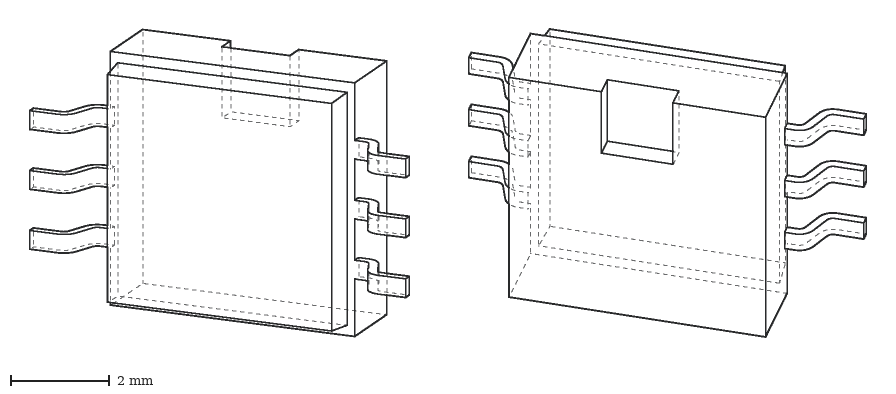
import cadquery as cq
import math

overall_width = 8.3
overall_depth = 2.4

block_width = 5.395
block_height = 5.38
block_depth = 1.64

notch_width = 1.5
notch_length = notch_width
notch_depth = 0.45

cover_width = 5.06
cover_height = 4.94
cover_depth = 0.655
cover_draft = 5.0

lead_count = 3
lead_pitch = 1.27
lead_width = 0.4
lead_thickness = 0.2
foot_length = 0.61
bend_inner_radius = 0.15
leg_angle = 69.0
root_embed = 0.25

block_left = -block_width / 2
foot_front = block_depth - overall_depth
bend_radius = bend_inner_radius + lead_thickness / 2


def make_block():
    block = cq.Workplane("XY").box(block_width, block_depth, block_height)
    block = block.translate((0, block_depth / 2, 0))
    notch = cq.Workplane("XY").box(notch_width, notch_depth, notch_length)
    notch_y = block_depth - notch_depth / 2
    notch_z = (block_height - notch_length) / 2
    return block.cut(notch.translate((0, notch_y, notch_z)))


def make_cover():
    return cq.Workplane("XZ").rect(cover_width, cover_height).extrude(cover_depth, taper=cover_draft)


def make_left_lead():
    foot_y = foot_front + lead_thickness / 2
    root_y = lead_thickness / 2
    angle = math.radians(leg_angle)
    bend_run = bend_radius * math.sin(angle)
    bend_rise = bend_radius * (1 - math.cos(angle))
    leg_rise = root_y - foot_y - 2 * bend_rise
    leg_run = leg_rise / math.tan(angle)

    tip_x = -overall_width / 2
    foot_end_x = tip_x + foot_length
    leg_start = (foot_end_x + bend_run, foot_y + bend_rise)
    leg_end = (leg_start[0] + leg_run, leg_start[1] + leg_rise)
    root_start_x = leg_end[0] + bend_run

    centreline = (
        cq.Workplane("XY")
        .moveTo(tip_x, foot_y)
        .lineTo(foot_end_x, foot_y)
        .tangentArcPoint(leg_start, relative=False)
        .lineTo(*leg_end)
        .tangentArcPoint((root_start_x, root_y), relative=False)
        .lineTo(block_left + root_embed, root_y)
    )
    section = cq.Workplane("YZ", origin=(tip_x, foot_y, 0)).rect(lead_thickness, lead_width)
    return section.sweep(centreline)


result = make_block().union(make_cover())

left_lead = make_left_lead()
right_lead = left_lead.mirror("YZ")
for index in range(lead_count):
    lead_z = (index - (lead_count - 1) / 2) * lead_pitch
    for lead in (left_lead, right_lead):
        result = result.union(lead.translate((0, 0, lead_z)))